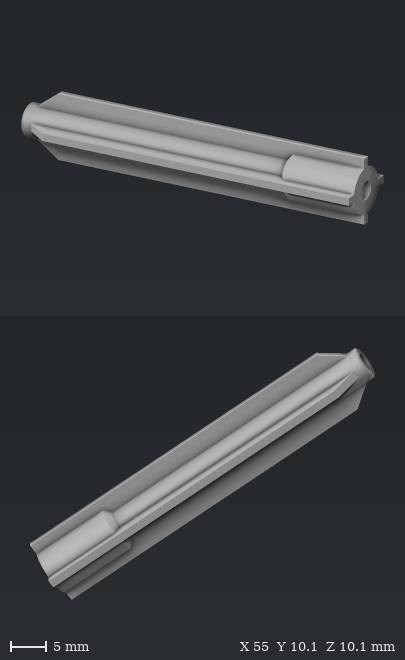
import cadquery as cq

length = 55.0
fin_span = 10.1
fin_thickness = 1.15
fin_count = 4
tube_diameter = 5.0
sleeve_diameter = 7.1
bore_diameter = 2.85
nose_chamfer = 0.2
sleeve_length = 11.55
shoulder_length = 1.0
fin_start = 1.6
fin_full_height = 5.0

tube_radius = tube_diameter / 2
sleeve_radius = sleeve_diameter / 2
bore_radius = bore_diameter / 2
fin_radius = fin_span / 2
sleeve_start = length - sleeve_length
shoulder_start = sleeve_start - shoulder_length


def make_body():
    """Tube with a chamfered nose and a conical shoulder up to the thicker rear end."""
    profile = (
        cq.Workplane("XY")
        .moveTo(0, 0)
        .lineTo(0, tube_radius - nose_chamfer)
        .lineTo(nose_chamfer, tube_radius)
        .lineTo(shoulder_start, tube_radius)
        .lineTo(sleeve_start, sleeve_radius)
        .lineTo(length, sleeve_radius)
        .lineTo(length, 0)
        .close()
    )
    return profile.revolve(360, (0, 0, 0), (1, 0, 0))


def make_fin():
    """Upright fin whose sloped front edge continues inward to the bore radius."""
    slope = (fin_full_height - fin_start) / (fin_radius - tube_radius)
    root_start = fin_start - slope * (tube_radius - bore_radius)
    outline = [
        (root_start, bore_radius),
        (fin_full_height, fin_radius),
        (length, fin_radius),
        (length, bore_radius),
    ]
    return cq.Workplane("XZ").polyline(outline).close().extrude(fin_thickness / 2, both=True)


result = make_body()
for index in range(fin_count):
    angle = index * 360 / fin_count
    result = result.union(make_fin().rotate((0, 0, 0), (1, 0, 0), angle))

bore = cq.Workplane("YZ").circle(bore_radius).extrude(length)
result = result.cut(bore)